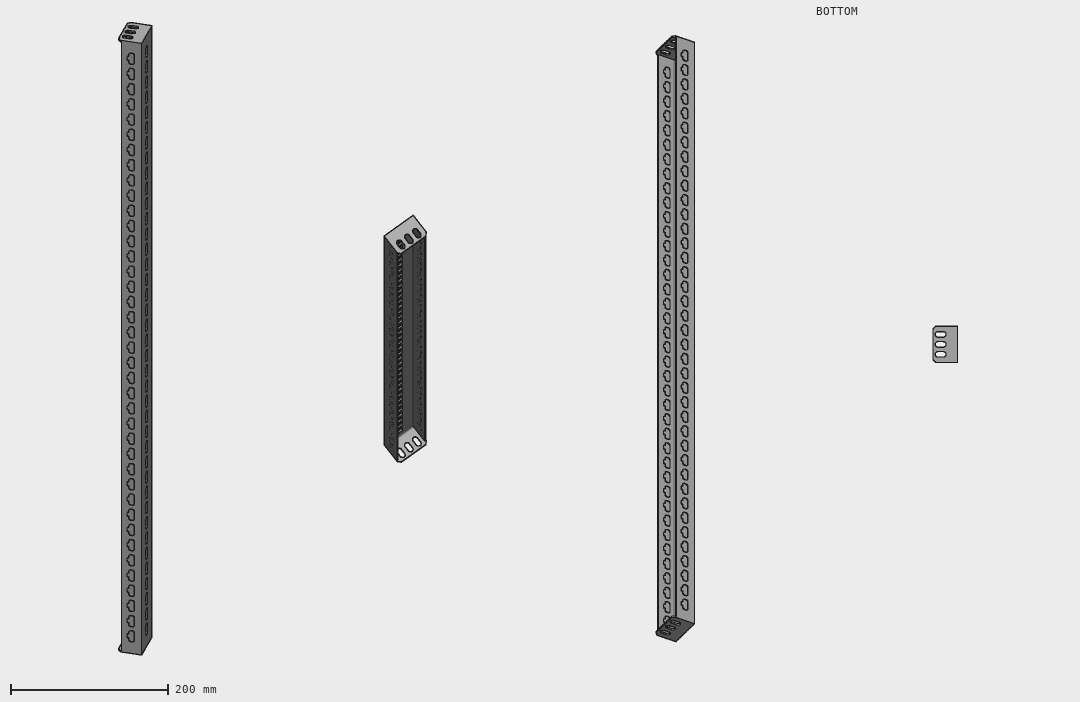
import cadquery as cq
length = 906.0
width = 46.0
depth = 32.0

flange_thickness = 2.3
web_thickness = 3.0
end_wall_thickness = 2.4
inner_bend_radius = 1.0

lip_reach = 4.7
lip_corner = 4.0

slot_count = 39
slot_row_span = 855.0
slot_length = 16.0
slot_width = 7.0
slot_corner_radius = 3.0

flange_slot_depth = 1.0
notch_height = 6.0
notch_reach = 2.3
notch_corner_radius = 2.0

end_slot_count = 3
end_slot_pitch = 13.0
end_slot_length = 14.0
end_slot_width = 6.7
end_slot_inset = 10.0

open_edge = -depth / 2
flange_edge = open_edge + lip_reach
web_outer = depth / 2
web_inner = web_outer - web_thickness
flange_slot_x = (flange_edge + web_outer) / 2
end_slot_x = open_edge + end_slot_inset


def evenly_spaced(count, pitch):
    """Positions centred on zero."""
    return [(i - (count - 1) / 2) * pitch for i in range(count)]


slot_heights = evenly_spaced(slot_count, slot_row_span / (slot_count - 1))


def block(x_start, x_end, y_size, z_size):
    """Box between two X positions, centred in Y and Z."""
    middle = (x_start + x_end) / 2
    return cq.Workplane("XY").box(x_end - x_start, y_size, z_size).translate((middle, 0, 0))


def copies(shape, places):
    """One shape repeated at each place."""
    solid = shape.val()
    return cq.Workplane(cq.Compound.makeCompound([solid.translate(cq.Vector(*p)) for p in places]))


def tray():
    """Thin-walled tray, open towards -X, with the corners of its end-wall lips cut off."""
    lips = block(open_edge, flange_edge, width, length).edges("|Z and <X").chamfer(lip_corner)
    clear_height = length - 2 * end_wall_thickness
    lips = lips.cut(block(open_edge, flange_edge, width, clear_height))
    shell = block(flange_edge, web_outer, width, length)
    cavity = block(flange_edge, web_inner, width - 2 * flange_thickness, clear_height)
    cavity = cavity.faces(">X").edges().fillet(inner_bend_radius)
    return shell.cut(cavity).union(lips)


def web_slots():
    """Cutters for the slots through the web."""
    slot = cq.Workplane("YZ").rect(slot_width, slot_length).extrude(web_thickness)
    slot = slot.edges("|X").fillet(slot_corner_radius)
    return copies(slot, [(web_inner, 0, z) for z in slot_heights])


def flange_slots():
    """Cutters for the blind notched slots, sunk into the -Y side of each flange."""
    slot = cq.Workplane("XZ").rect(slot_width, slot_length).extrude(-flange_slot_depth)
    slot = slot.edges("|Y").fillet(slot_corner_radius)
    notch_length = slot_width / 2 + notch_reach
    notch = cq.Workplane("XZ").center(-notch_length / 2, 0).rect(notch_length, notch_height)
    notch = notch.extrude(-flange_slot_depth).edges("|Y and <X").fillet(notch_corner_radius)
    faces = (-width / 2, width / 2 - flange_thickness)
    return copies(slot.union(notch), [(flange_slot_x, y, z) for y in faces for z in slot_heights])


def end_slots():
    """Cutters for the round-ended slots, each running through both end walls."""
    slot = cq.Workplane("XY").slot2D(end_slot_length, end_slot_width).extrude(length / 2, both=True)
    return copies(slot, [(end_slot_x, y, 0) for y in evenly_spaced(end_slot_count, end_slot_pitch)])


result = tray().cut(web_slots()).cut(flange_slots()).cut(end_slots())